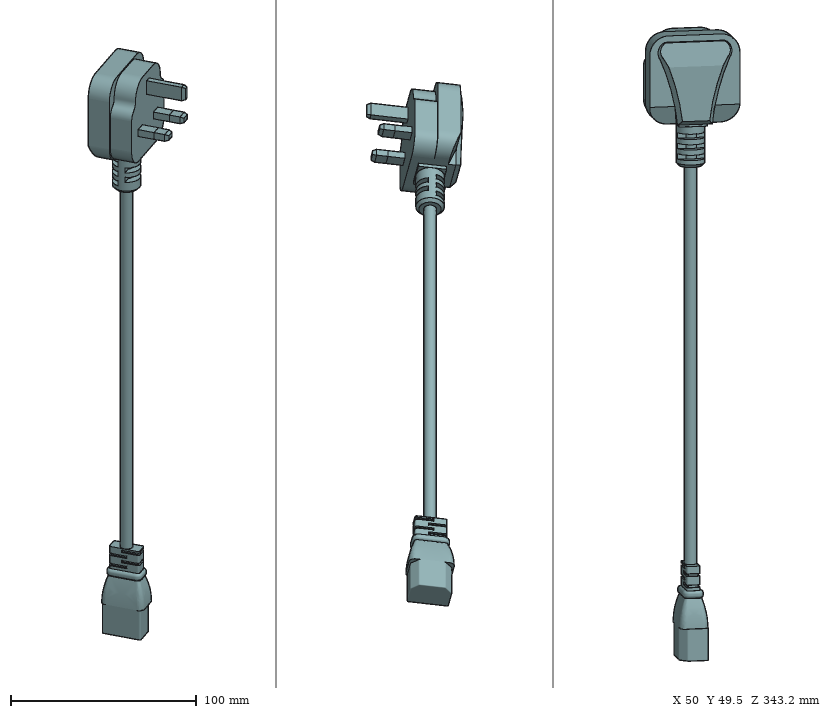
import cadquery as cq

total_height = 343.2

cable_radius = 3.5

plug_height = 49.0
half_depth = 12.5
rear_width = 49.5
front_width = 46.7
front_top_drop = 0.7
plug_corner_radius = 10.3
plug_bottom = total_height - plug_height
heel_depth = 4.0
heel_height = 10.3

shoulder_half_width = 18.0
front_top = total_height - front_top_drop
shoulder_top = front_top - plug_corner_radius
shoulder_drop = 9.3
concave_share = 0.44

grip_height = 3.0
grip_top_height = 0.5
grip_top = total_height - 3.5
grip_slope_end = total_height - 16.8
grip_wall_angle = 38
grip_top_half_width = 16.0
grip_widest_half_width = 20.3
grip_widest_z = grip_top - 6.0
grip_side_half_width = 19.2
grip_side_z = grip_top - 9.3
grip_middle_half_width = 12.0
grip_middle_z = plug_bottom + 14.8
grip_foot_half_width = 9.5

relief_radius = 7.72
neck_height = 2.0
relief_bottom = plug_bottom - 24.7
relief_chamfer = 1.7
relief_slot_height = 2.9
relief_slot_count = 5
relief_slots_top = plug_bottom - 6.2
relief_slot_floor = 2.0

earth_pin_thickness = 3.5
earth_pin_height = 8.2
earth_pin_tip = 34.5
earth_pin_z = total_height - 10.0
power_pin_width = 6.2
power_pin_height = 4.0
power_pin_tip = 30.0
power_pin_y = 11.0
power_pin_z = earth_pin_z - 21.5
sleeve_end = 21.5
tip_length = 2.0
tip_inset = 0.7

connector_top = 51.5
bead_height = 4.0
bead_rim_radius = 1.7
bead_top = 38.0
bead_length = 20.5
bead_width = 11.3
neck_length = 18.5
neck_width = 9.3
neck_corner_radius = 1.7
hood_length = 24.7
hood_width = 15.5
hood_corner_radius = 3.0
block_height = 18.0
block_length = 22.5
block_chamfer = 4.0
block_edge_radius = 1.0
block_rim_radius = 0.5
tail_length = 17.5
tail_width = 7.2
tail_edge_radius = 1.0
groove_height = 1.5
groove_pitch = 3.0
groove_depth = 1.0
groove_count = 4
groove_overlap = 1.5
top_rib_height = 1.0


def block_between(x0, x1, y0, y1, z0, z1):
    """Box given by its limits along each axis."""
    return cq.Workplane("XY").box(x1 - x0, y1 - y0, z1 - z0, centered=False).translate((x0, y0, z0))


def make_cable(bottom, top):
    return cq.Workplane("XY").workplane(offset=bottom).circle(cable_radius).extrude(top - bottom)


def make_rear_half():
    """Rounded rectangle with its lower rear edge cut off at a slant."""
    half_width = rear_width / 2
    body = block_between(-half_depth, 0, -half_width, half_width, plug_bottom, total_height)
    body = body.edges("|X").fillet(plug_corner_radius)
    heel = (
        cq.Workplane("XZ")
        .moveTo(-half_depth, plug_bottom)
        .lineTo(heel_depth - half_depth, plug_bottom)
        .lineTo(-half_depth, plug_bottom + heel_height)
        .close()
        .extrude(half_width, both=True)
    )
    return body.cut(heel)


def make_front_half():
    """Front half whose sides step in through an S-curve to narrow shoulders."""
    half_width = front_width / 2
    corner = plug_corner_radius
    step = half_width - shoulder_half_width
    joint_y = shoulder_half_width + concave_share * step
    joint_z = shoulder_top - concave_share * shoulder_drop
    half = (
        cq.Workplane("YZ")
        .moveTo(0, front_top)
        .lineTo(shoulder_half_width - corner, front_top)
        .tangentArcPoint((shoulder_half_width, shoulder_top), relative=False)
        .tangentArcPoint((joint_y, joint_z), relative=False)
        .tangentArcPoint((half_width, shoulder_top - shoulder_drop), relative=False)
        .lineTo(half_width, plug_bottom + corner)
        .tangentArcPoint((half_width - corner, plug_bottom), relative=False)
        .lineTo(0, plug_bottom)
        .close()
        .extrude(half_depth)
    )
    return half.union(half.mirror("XZ"))


def grip_outline():
    """Wide and round at the top, drawn in along concave sides to a narrow foot above the strain relief."""
    widest = (grip_widest_half_width, grip_widest_z)
    side = (grip_side_half_width, grip_side_z)
    middle = (grip_middle_half_width, grip_middle_z)
    foot = (grip_foot_half_width, plug_bottom)
    return (
        cq.Workplane("YZ", origin=(-half_depth, 0, 0))
        .moveTo(0, grip_top)
        .lineTo(grip_top_half_width, grip_top)
        .threePointArc(widest, side)
        .threePointArc(middle, foot)
        .lineTo(0, plug_bottom)
        .mirrorY()
    )


def make_grip():
    """Panel with sloping walls whose outer face falls away towards the top; its root fills the heel cut."""
    root = grip_outline().extrude(heel_depth)
    panel = grip_outline().extrude(-grip_height, taper=grip_wall_angle)
    outer_x = -half_depth - grip_height
    slope = (
        cq.Workplane("XZ")
        .moveTo(outer_x, grip_slope_end)
        .lineTo(-half_depth - grip_top_height, grip_top)
        .lineTo(outer_x, grip_top)
        .close()
        .extrude(rear_width / 2, both=True)
    )
    return root.union(panel.cut(slope))


def make_strain_relief():
    """Square neck and round sleeve, slotted alternately from -X and +X."""
    neck_bottom = plug_bottom - neck_height
    half_neck = relief_radius
    neck = block_between(-half_neck, half_neck, -half_neck, half_neck, neck_bottom, plug_bottom)
    relief = (
        cq.Workplane("XY")
        .workplane(offset=relief_bottom)
        .circle(relief_radius)
        .extrude(neck_bottom - relief_bottom)
        .faces("<Z")
        .chamfer(relief_chamfer)
        .union(neck)
    )
    reach = 2 * relief_radius
    for index in range(relief_slot_count):
        top = relief_slots_top - index * relief_slot_height
        slot = block_between(-reach, -relief_slot_floor, -reach, reach, top - relief_slot_height, top)
        if index % 2:
            slot = slot.mirror("YZ")
        relief = relief.cut(slot)
    return relief


def make_plug():
    moulding = make_rear_half().union(make_front_half()).union(make_grip())
    moulding = moulding.union(make_strain_relief())
    return moulding.cut(make_cable(relief_bottom, plug_bottom))


def make_pin(start, tip, width, height, y, z):
    """Rectangular blade along X with a tapered tip."""
    shoulder = tip - tip_length
    blade = cq.Workplane("YZ", origin=(start, y, z)).rect(width, height).extrude(shoulder - start)
    point = (
        cq.Workplane("YZ", origin=(shoulder, y, z))
        .rect(width, height)
        .workplane(offset=tip_length)
        .rect(width - 2 * tip_inset, height - 2 * tip_inset)
        .loft(ruled=True)
    )
    return blade.union(point)


def make_earth_pin():
    return make_pin(half_depth, earth_pin_tip, earth_pin_thickness, earth_pin_height, 0, earth_pin_z)


def make_power_pin(y):
    """Bare metal end of a power pin, beyond its insulating sleeve."""
    return make_pin(sleeve_end, power_pin_tip, power_pin_width, power_pin_height, y, power_pin_z)


def make_pin_sleeve(y):
    """Insulated part of a power pin, flush with the metal end."""
    return (
        cq.Workplane("YZ", origin=(half_depth, y, power_pin_z))
        .rect(power_pin_width, power_pin_height)
        .extrude(sleeve_end - half_depth)
    )


def rounded_rectangle(length, width, radius, z):
    """Rounded rectangle at height z, its length along X."""
    sketch = cq.Sketch().rect(length, width).vertices().fillet(radius)
    return sketch.moved(cq.Location(cq.Vector(0, 0, z)))


def rounded_bar(length, width, radius, bottom, top):
    """Upright bar with a rounded rectangle as its section."""
    section = rounded_rectangle(length, width, radius, bottom)
    return cq.Workplane("XY").placeSketch(section).extrude(top - bottom)


def make_tail():
    """Flat tail with shallow grooves that wrap its -X and +X ends in turn."""
    tail = rounded_bar(tail_length, tail_width, tail_edge_radius, bead_top, connector_top)
    core_length = tail_length - 2 * groove_depth
    core_width = tail_width - 2 * groove_depth
    for index in range(groove_count):
        top = connector_top - top_rib_height - index * groove_pitch
        bottom = top - groove_height
        groove = block_between(-groove_overlap, tail_length, -tail_width, tail_width, bottom, top)
        core = cq.Workplane("XY", origin=(0, 0, bottom)).rect(core_length, core_width).extrude(groove_height)
        groove = groove.cut(core)
        if index % 2:
            groove = groove.mirror("YZ")
        tail = tail.cut(groove)
    return tail


def make_bead():
    """Collar with a rounded rim."""
    corner_radius = neck_corner_radius + bead_rim_radius
    bead = rounded_bar(bead_length, bead_width, corner_radius, bead_top - bead_height, bead_top)
    return bead.faces("<Z or >Z").edges().fillet(bead_rim_radius)


def make_hood():
    """Body that flares along a parabola from the neck under the collar to the full section."""
    neck_z = bead_top - bead_height
    sections = []
    for drop in (0, 0.5, 1):
        share = 1 - (1 - drop) ** 2
        length = neck_length + share * (hood_length - neck_length)
        width = neck_width + share * (hood_width - neck_width)
        radius = neck_corner_radius + share * (hood_corner_radius - neck_corner_radius)
        sections.append(rounded_rectangle(length, width, radius, neck_z + drop * (block_height - neck_z)))
    return cq.Workplane("XY").placeSketch(*sections).loft()


def make_block():
    """Contact block with two keyed corners on the +Y side."""
    block = cq.Workplane("XY").box(block_length, hood_width, block_height, centered=(True, True, False))
    block = block.edges("|Z and >Y").chamfer(block_chamfer)
    block = block.edges("|Z").fillet(block_edge_radius)
    return block.faces("<Z").edges().fillet(block_rim_radius)


def make_connector():
    return make_hood().union(make_block()).union(make_bead()).union(make_tail())


cable = make_cable(connector_top, plug_bottom)
plug = make_plug()
earth_pin = make_earth_pin()
connector = make_connector()

power_pins = []
pin_sleeves = []
for side in (-1, 1):
    power_pins.append(make_power_pin(side * power_pin_y).val())
    pin_sleeves.append(make_pin_sleeve(side * power_pin_y).val())

result = cq.Compound.makeCompound(
    [cable.val(), plug.val(), earth_pin.val(), connector.val(), *power_pins, *pin_sleeves]
)